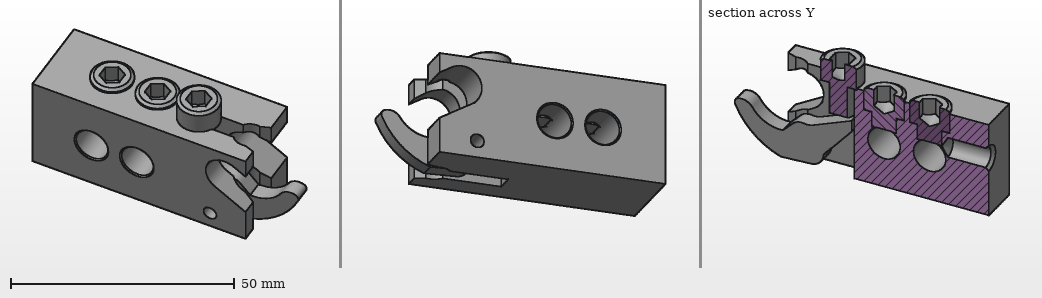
import cadquery as cq
import math

overall_length = 64.2
overall_height = 29.5
block_length = 54.0
block_width = 20.0
block_height = 24.0

screw_pitch = 11.5
first_screw_x = 14.95
head_diameter = 10.0
head_height = 6.0
head_chamfer_height = 0.5
head_chamfer_width = 0.85
shank_diameter = 6.05
hex_across_flats = 5.0
socket_depth = 4.0
socket_point_angle = 120.0
clamp_head_rise = 0.95
clamp_shank_length = 3.9
lever_shank_length = 8.0

rod_hole_diameter = 8.0
rod_hole_z = 11.55
rod_hole_chamfer = 0.3

rear_bore_diameter = 5.0
rear_bore_mouth_diameter = 6.55
rear_bore_z = 15.0
rear_bore_depth = 10.35
rear_bore_point_angle = 120.0

seat_x = 48.65
seat_z = 16.9
seat_radius = 4.75
channel_slope = 30.0

lever_plane_y = -2.0
slot_width = 4.5
slot_start_x = 34.0
flare_centre_x = 50.8
flare_radius = 3.6
flare_break_x = 51.55
flare_mouth_width = 8.7

lever_thickness = 4.0
pivot_x = 45.0
pivot_z = 4.0
pivot_diameter = 3.2
hub_radius = 3.2
arm_end_x = 34.7
arm_end_depth = 2.9
arm_slope = 22.0
dip_x = 45.9
dip_z = 10.85
dip_radius = 4.2
ramp_slope = 9.0
hump_x = 47.4
hump_radius = 2.95
hump_back_slope = 45.0
claw_x = 52.5
claw_z = 16.2
claw_radius = 8.6
claw_start_x = 52.0
nose_direction = -33.0
nose_radius = 3.15
tip_radius = 1.2
claw_back_middle = (60.1, 5.2)
claw_back_end = (52.5, 0.45)

clamp_screw_xs = [first_screw_x, first_screw_x + screw_pitch]
lever_screw_x = first_screw_x + 2 * screw_pitch
clamp_seat_z = block_height + clamp_head_rise - head_height
lever_seat_z = overall_height - head_height


def polar(centre, radius, degrees):
    """Point at the given radius and direction from a centre."""
    angle = math.radians(degrees)
    return (centre[0] + radius * math.cos(angle), centre[1] + radius * math.sin(angle))


def direction(start, end):
    """Direction in degrees from one point to another."""
    return math.degrees(math.atan2(end[1] - start[1], end[0] - start[0]))


def cone_height(diameter, point_angle):
    """Height of a drill point."""
    return diameter / 2 / math.tan(math.radians(point_angle / 2))


def along_y(centre_y, thickness):
    """XZ sketch plane from which a positive extrusion fills a thickness centred on a Y position."""
    return cq.Workplane("XZ", origin=(0, centre_y + thickness / 2, 0))


def cap_screw(x, y, seat_z, shank_length):
    """Socket head cap screw whose head rests at seat_z."""
    head = cq.Workplane("XY").circle(head_diameter / 2).extrude(head_height - head_chamfer_height)
    rim = cq.Workplane("XY", origin=(0, 0, head_height - head_chamfer_height)).circle(head_diameter / 2)
    rim = rim.workplane(offset=head_chamfer_height).circle(head_diameter / 2 - head_chamfer_width).loft()
    head = head.union(rim)
    shank = cq.Workplane("XY").circle(shank_diameter / 2).extrude(-shank_length)
    screw = head.union(shank).cut(hex_socket())
    return screw.translate((x, y, seat_z)).solids()


def hex_socket():
    """Hexagonal recess with corners along Y, whose floor is a drill point as wide as the corners."""
    corner_diameter = hex_across_flats / math.cos(math.radians(30))
    floor_z = head_height - socket_depth
    point_height = cone_height(corner_diameter, socket_point_angle)
    drilled = (
        cq.Workplane("XZ")
        .moveTo(0, floor_z - point_height)
        .lineTo(corner_diameter / 2, floor_z)
        .lineTo(corner_diameter / 2, head_height)
        .lineTo(0, head_height)
        .close()
        .revolve(360, (0, 0, 0), (0, 1, 0))
    )
    hexagon = cq.Workplane("XY", origin=(0, 0, floor_z - point_height)).polygon(6, corner_diameter)
    hexagon = hexagon.extrude(point_height + socket_depth).rotate((0, 0, 0), (0, 0, 1), 30)
    return hexagon.intersect(drilled)


def screw_recess(x, y, seat_z, shank_length):
    """Counterbore and hole that fit a cap screw."""
    counterbore = cq.Workplane("XY").circle(head_diameter / 2).extrude(head_height)
    hole = cq.Workplane("XY").circle(shank_diameter / 2).extrude(-shank_length)
    return counterbore.union(hole).translate((x, y, seat_z))


def rod_hole(x):
    """Cross hole with a chamfer at both ends."""
    hole = along_y(0, block_width).center(x, rod_hole_z).circle(rod_hole_diameter / 2).extrude(block_width)
    for side in (1, -1):
        mouth = cq.Solid.makeCone(
            rod_hole_diameter / 2 + rod_hole_chamfer,
            rod_hole_diameter / 2,
            rod_hole_chamfer,
            cq.Vector(x, side * block_width / 2, rod_hole_z),
            cq.Vector(0, -side, 0),
        )
        hole = hole.union(cq.Workplane("XY").add(mouth))
    return hole


def rear_bore():
    """Blind bore along X with a chamfered mouth and a conical end."""
    radius = rear_bore_diameter / 2
    mouth_radius = rear_bore_mouth_diameter / 2
    tip_x = rear_bore_depth + cone_height(rear_bore_diameter, rear_bore_point_angle)
    profile = (
        cq.Workplane("XY")
        .moveTo(0, 0)
        .lineTo(0, mouth_radius)
        .lineTo(mouth_radius - radius, radius)
        .lineTo(rear_bore_depth, radius)
        .lineTo(tip_x, 0)
        .close()
    )
    return profile.revolve(360, (0, 0, 0), (1, 0, 0)).translate((0, 0, rear_bore_z))


def hook_opening():
    """Round seat and the sloping channel that leads out of the front end."""
    centre = (seat_x, seat_z)
    upper = polar(centre, seat_radius, 90 - channel_slope)
    lower = polar(centre, seat_radius, -90 - channel_slope)
    back = polar(centre, seat_radius, 180 - channel_slope)
    run_out = block_length
    return (
        along_y(0, block_width)
        .moveTo(*upper)
        .threePointArc(back, lower)
        .lineTo(*polar(lower, run_out, -channel_slope))
        .lineTo(*polar(upper, run_out, -channel_slope))
        .close()
        .extrude(block_width)
    )


def lever_slot():
    """Slot for the lever through the whole height, with a flared mouth at the front end."""
    slot_length = block_length - slot_start_x
    slot = cq.Workplane("XY").box(slot_length, slot_width, block_height, centered=(False, True, False))
    slot = slot.translate((slot_start_x, 0, 0))
    break_half_width = math.sqrt(flare_radius**2 - (flare_break_x - flare_centre_x) ** 2)
    flare = (
        cq.Workplane("XY")
        .moveTo(flare_break_x, break_half_width)
        .threePointArc((flare_centre_x - flare_radius, 0), (flare_break_x, -break_half_width))
        .lineTo(block_length, -flare_mouth_width / 2)
        .lineTo(block_length, flare_mouth_width / 2)
        .close()
        .extrude(block_height)
    )
    return slot.union(flare).translate((0, lever_plane_y, 0))


def pivot_hole():
    return along_y(0, block_width).center(pivot_x, pivot_z).circle(pivot_diameter / 2).extrude(block_width)


def make_block():
    block = cq.Workplane("XY").box(block_length, block_width, block_height, centered=(False, True, False))
    for x in clamp_screw_xs:
        block = block.cut(rod_hole(x))
        block = block.cut(screw_recess(x, 0, clamp_seat_z, clamp_shank_length))
    block = block.cut(screw_recess(lever_screw_x, lever_plane_y, lever_seat_z, lever_shank_length))
    block = block.cut(rear_bore()).cut(hook_opening()).cut(lever_slot()).cut(pivot_hole())
    return block.solids()


def make_lever():
    """Flat lever: arm under the screw, hub on the pivot, claw in front of the block."""
    dip_centre = (dip_x, dip_z + dip_radius)
    dip_start = polar(dip_centre, dip_radius, -90 - arm_slope)
    dip_bottom = polar(dip_centre, dip_radius, -90)
    dip_end = polar(dip_centre, dip_radius, -90 + ramp_slope)
    arm_end_z = dip_start[1] + (dip_start[0] - arm_end_x) * math.tan(math.radians(arm_slope))

    hump_start_x = hump_x - hump_radius * math.sin(math.radians(ramp_slope))
    hump_start_z = dip_end[1] + (hump_start_x - dip_end[0]) * math.tan(math.radians(ramp_slope))
    hump_centre = (hump_x, hump_start_z - hump_radius * math.cos(math.radians(ramp_slope)))
    hump_top = polar(hump_centre, hump_radius, 90)
    hump_end = polar(hump_centre, hump_radius, 90 - hump_back_slope)

    claw_centre = (claw_x, claw_z)
    claw_start = (claw_start_x, claw_z - math.sqrt(claw_radius**2 - (claw_start_x - claw_x) ** 2))
    claw_middle = polar(claw_centre, claw_radius, (nose_direction - 90) / 2)
    nose_start = polar(claw_centre, claw_radius, nose_direction)
    nose_centre = polar(claw_centre, claw_radius + nose_radius, nose_direction)
    tip_centre_x = overall_length - tip_radius
    tip_rise = math.sqrt((nose_radius - tip_radius) ** 2 - (tip_centre_x - nose_centre[0]) ** 2)
    tip_centre = (tip_centre_x, nose_centre[1] + tip_rise)
    tip_direction = direction(nose_centre, tip_centre)
    nose_middle = polar(nose_centre, nose_radius, (180 + nose_direction + tip_direction) / 2)
    nose_end = polar(nose_centre, nose_radius, tip_direction)
    tip_middle = (overall_length, tip_centre[1])
    tip_end = polar(tip_centre, tip_radius, nose_direction)

    pivot = (pivot_x, pivot_z)
    hub_bottom = polar(pivot, hub_radius, -90)
    hub_middle = polar(pivot, hub_radius, -135)
    hub_rear = polar(pivot, hub_radius, 180)

    return (
        along_y(lever_plane_y, lever_thickness)
        .moveTo(arm_end_x, arm_end_z)
        .lineTo(*dip_start)
        .threePointArc(dip_bottom, dip_end)
        .lineTo(hump_start_x, hump_start_z)
        .threePointArc(hump_top, hump_end)
        .lineTo(*claw_start)
        .threePointArc(claw_middle, nose_start)
        .threePointArc(nose_middle, nose_end)
        .threePointArc(tip_middle, tip_end)
        .threePointArc(claw_back_middle, claw_back_end)
        .lineTo(*hub_bottom)
        .threePointArc(hub_middle, hub_rear)
        .lineTo(arm_end_x, arm_end_z - arm_end_depth)
        .close()
        .extrude(lever_thickness)
    )


block = make_block()
lever = make_lever()
screws = [cap_screw(x, 0, clamp_seat_z, clamp_shank_length) for x in clamp_screw_xs]
screws.append(cap_screw(lever_screw_x, lever_plane_y, lever_seat_z, lever_shank_length))

result = cq.Compound.makeCompound([block.val(), lever.val(), *[screw.val() for screw in screws]])